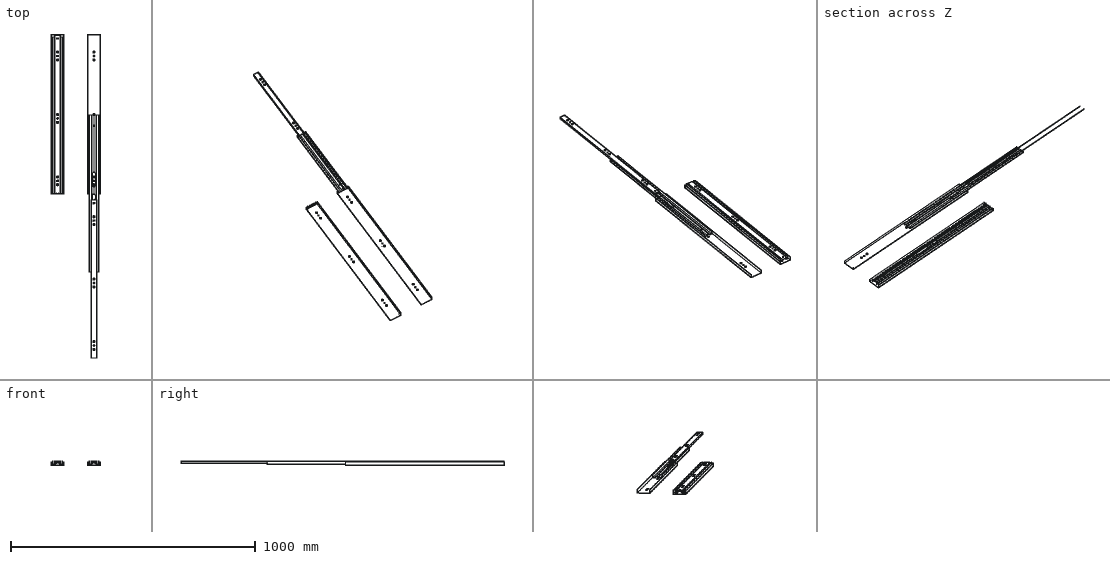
import cadquery as cq
import math

TOTAL_LENGTH = 1322.0
TOTAL_WIDTH = 202.0
TOTAL_HEIGHT = 19.0
REAR_Y = TOTAL_LENGTH / 2

SHEET = 1.9

MIDDLE_LENGTH = 641.0
MIDDLE_WIDTH = 40.0
MIDDLE_BOTTOM = 5.0
RIDGE_TOP = 12.0
RIDGE_FLAT_HALF = 4.8
RIDGE_SLOPE = math.radians(45)

OUTER_LENGTH = 650.0
BALL_GAP = 5.2
OUTER_WIDTH = MIDDLE_WIDTH + 2 * (BALL_GAP + SHEET)
RIM_DROP = 3.3
OUTER_HEIGHT = TOTAL_HEIGHT - RIM_DROP

INNER_LENGTH = 647.0
INNER_WIDTH = 25.0
INNER_BOTTOM = 9.7

SLIDE_X = (TOTAL_WIDTH - OUTER_WIDTH) / 2
OUTER_FRONT_Y = REAR_Y - OUTER_LENGTH
INNER_SETBACK = 1.0
MIDDLE_TRAVEL = 320.0
INNER_CLOSED_FRONT_Y = OUTER_FRONT_Y + INNER_SETBACK
INNER_TRAVEL = INNER_CLOSED_FRONT_Y + TOTAL_LENGTH / 2

HOLE = 5.0
COUNTERSINK = 8.5
COUNTERSINK_ANGLE = 90
SCREW_SPACING = 16.0
GROUP_PITCH = 255.0
GROUP_COUNT = 3
OUTER_GROUP_FROM_REAR = 87.0
INNER_GROUP_FROM_FRONT = 52.0
INNER_HOLE_FROM_REAR = 13.0

RIDGE_HOLE_FROM_REAR = 44.0
SLOT_WIDTH = 11.6
RIDGE_SLOTS = [(263.0, 61.0), (335.0, 24.0)]
ALONG_Y = 90


def unit(start, end):
    """Unit vector from one point to another."""
    length = math.dist(start, end)
    return ((end[0] - start[0]) / length, (end[1] - start[1]) / length)


def rounded_outline(corners):
    """Closed XZ outline from (x, z, radius) corners; radius 0 leaves the corner sharp."""
    outline = None
    for i, (x, z, radius) in enumerate(corners):
        corner = (x, z)
        back = unit(corner, corners[i - 1][:2])
        ahead = unit(corner, corners[(i + 1) % len(corners)][:2])
        half_angle = math.acos(back[0] * ahead[0] + back[1] * ahead[1]) / 2
        tangent = radius / math.tan(half_angle)
        start = (x + back[0] * tangent, z + back[1] * tangent)
        outline = outline.lineTo(*start) if outline else cq.Workplane("XZ").moveTo(*start)
        if radius:
            end = (x + ahead[0] * tangent, z + ahead[1] * tangent)
            inward = unit(corner, ((start[0] + end[0]) / 2, (start[1] + end[1]) / 2))
            depth = radius / math.sin(half_angle) - radius
            outline = outline.threePointArc((x + inward[0] * depth, z + inward[1] * depth), end)
    return outline.close()


def rail(right_half, length):
    """Rail symmetric about X = 0 with its front end at Y = 0, from its right-hand corners in order."""
    left_half = [(-x, z, radius) for x, z, radius in reversed(right_half)]
    return rounded_outline(right_half + left_half).extrude(-length)


def drilled(body, ys):
    """Cuts plain vertical holes on the rail's centre line."""
    holes = cq.Workplane("XY").pushPoints([(0, y) for y in ys]).circle(HOLE / 2)
    return body.cut(holes.extrude(TOTAL_HEIGHT))


def with_screw_groups(body, first_y, sheet_top):
    """Cuts the hole groups, the first centred at first_y and the rest behind it."""
    group_ys = [first_y + i * GROUP_PITCH for i in range(GROUP_COUNT)]
    screws = [(0, y + side * SCREW_SPACING) for y in group_ys for side in (-1, 1)]
    surface = body.copyWorkplane(cq.Workplane("XY", origin=(0, 0, sheet_top)))
    countersunk = surface.pushPoints(screws).cskHole(HOLE, COUNTERSINK, COUNTERSINK_ANGLE, SHEET)
    return drilled(countersunk, group_ys)


def outer_rail():
    half = OUTER_WIDTH / 2
    section = [
        (half, 0, SHEET),
        (half, OUTER_HEIGHT, 0),
        (half - SHEET, OUTER_HEIGHT, 0),
        (half - SHEET, SHEET, 0),
    ]
    front_group = OUTER_LENGTH - OUTER_GROUP_FROM_REAR - (GROUP_COUNT - 1) * GROUP_PITCH
    return with_screw_groups(rail(section, OUTER_LENGTH), front_group, SHEET)


def middle_rail():
    half = MIDDLE_WIDTH / 2
    floor = MIDDLE_BOTTOM + SHEET
    bend_shift = SHEET * math.tan(RIDGE_SLOPE / 2)
    ridge_run = (RIDGE_TOP - floor) / math.tan(RIDGE_SLOPE)
    top_x = RIDGE_FLAT_HALF + bend_shift
    foot_x = top_x + ridge_run
    section = [
        (top_x - bend_shift, RIDGE_TOP - SHEET, 0),
        (foot_x - bend_shift, MIDDLE_BOTTOM, SHEET),
        (half, MIDDLE_BOTTOM, SHEET),
        (half, TOTAL_HEIGHT, 0),
        (half - SHEET, TOTAL_HEIGHT, 0),
        (half - SHEET, floor, 0),
        (foot_x, floor, 0),
        (top_x, RIDGE_TOP, SHEET),
    ]
    body = drilled(rail(section, MIDDLE_LENGTH), [MIDDLE_LENGTH - RIDGE_HOLE_FROM_REAR])
    for centre, length in RIDGE_SLOTS:
        slot = cq.Workplane("XY").center(0, MIDDLE_LENGTH - centre).slot2D(length, SLOT_WIDTH, ALONG_Y)
        body = body.cut(slot.extrude(TOTAL_HEIGHT))
    return body


def inner_rail():
    half = INNER_WIDTH / 2
    section = [
        (half - SHEET, TOTAL_HEIGHT - SHEET, 0),
        (half - SHEET, INNER_BOTTOM, 0),
        (half, INNER_BOTTOM, 0),
        (half, TOTAL_HEIGHT, SHEET),
    ]
    body = with_screw_groups(rail(section, INNER_LENGTH), INNER_GROUP_FROM_FRONT, TOTAL_HEIGHT)
    return drilled(body, [INNER_LENGTH - INNER_HOLE_FROM_REAR])


bodies = []
for slide_x, extension in [(-SLIDE_X, 0), (SLIDE_X, 1)]:
    outer = outer_rail().translate((slide_x, OUTER_FRONT_Y, 0))
    middle = middle_rail().translate((slide_x, OUTER_FRONT_Y - extension * MIDDLE_TRAVEL, 0))
    inner = inner_rail().translate((slide_x, INNER_CLOSED_FRONT_Y - extension * INNER_TRAVEL, 0))
    bodies += [outer.val(), middle.val(), inner.val()]

result = cq.Compound.makeCompound(bodies)